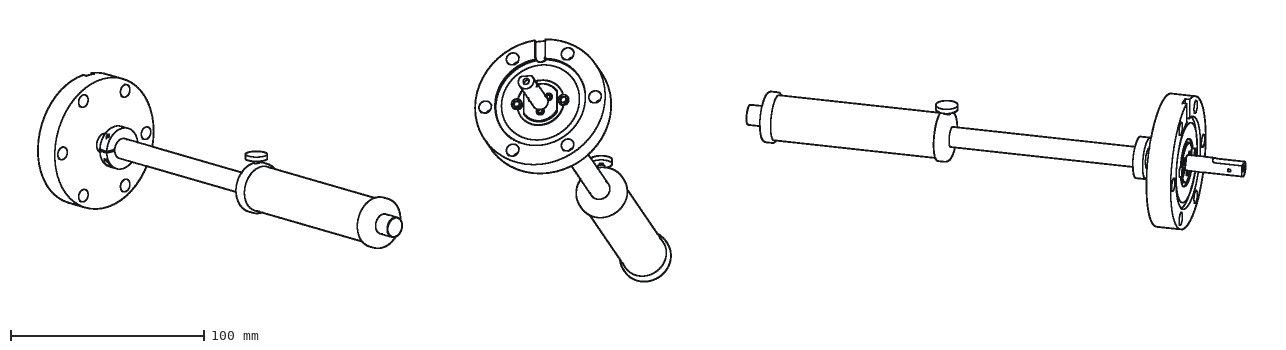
import cadquery as cq
import math

total_length = 265.5

flange_x = 29.7
flange_dia = 69.5
flange_thickness = 13.0
bolt_count = 6
bolt_circle_dia = 58.7
bolt_hole_dia = 6.6
gasket_recess_dia = 48.3
knife_edge_dia = 41.7
knife_edge_depth = 0.8
knife_slope_deg = 20
leak_groove_width = 5.5
leak_groove_depth = 2.5
leak_groove_bottom = 22.8

insert_seat_dia = 25.0
insert_seat_depth = 0.5
insert_dia = 21.0
insert_flat_width = 17.8
insert_height = 0.8
insert_chamfer = 0.3
screw_offset = 12.5
screw_head_dia = 5.3
screw_socket_dia = 3.5
screw_proud = 0.5
guide_count = 3
guide_offset = 5.0
guide_head_dia = 4.0
guide_socket_dia = 2.0
guide_proud = 0.3
socket_depth = 0.8

inner_face_x = flange_x + knife_edge_depth
insert_seat_x = inner_face_x + insert_seat_depth
insert_front_x = insert_seat_x - insert_height

shaft_dia = 8.2
tip_hole_dia = 3.2
tip_hole_depth = 2.7
flat_height = 3.0
flat_length = 16.2
flat_end_radius = 1.5
pin_hole_x = 6.6
pin_hole_dia = 1.5

tube_dia = 10.5
tube_end_chamfer = 0.3
collar_x = 51.3
collar_width = 5.3
collar_dia = 21.8
collar_slit = 0.8
clamp_screw_offset = 7.7
clamp_hole_dia = 1.5
clamp_hole_bottom = 4.0
clamp_head_dia = 4.0
clamp_head_seat = 4.5

handle_x = 156.7
handle_end_x = 256.5
handle_dia = 23.6
cap_dia = 26.5
front_cap_width = 6.5
front_cap_fillet = 2.5
rear_cap_width = 5.8
rear_cap_fillet = 1.9
cap_inner_fillet = 0.8

knob_x = 159.4
knob_dia = 11.5
knob_bottom = 15.5
knob_thickness = 2.5
stem_dia = 2.0
nut_dia = 3.5
nut_top = 14.3


def rod(x, length, dia):
    """Cylinder along +X starting at x."""
    return cq.Workplane("YZ", origin=(x, 0, 0)).circle(dia / 2).extrude(length)


def rod_at(x, length, dia, y, z):
    """Cylinder along +X starting at x, off the main axis."""
    return rod(x, length, dia).translate((0, y, z))


def upright(x, y, z, length, dia):
    """Cylinder along +Z starting at height z."""
    return cq.Workplane("XY", origin=(x, y, z)).circle(dia / 2).extrude(length)


def make_flange():
    flange_r = flange_dia / 2
    recess_r = gasket_recess_dia / 2
    knife_r = knife_edge_dia / 2
    recess_x = inner_face_x + (recess_r - knife_r) * math.tan(math.radians(knife_slope_deg))
    back_x = flange_x + flange_thickness
    profile = [
        (inner_face_x, 0),
        (inner_face_x, knife_r),
        (recess_x, recess_r),
        (flange_x, recess_r),
        (flange_x, flange_r),
        (back_x, flange_r),
        (back_x, 0),
    ]
    flange = cq.Workplane("XY").polyline(profile).close().revolve(360, (0, 0, 0), (1, 0, 0))
    for i in range(bolt_count):
        angle = 2 * math.pi * i / bolt_count
        y = bolt_circle_dia / 2 * math.cos(angle)
        z = bolt_circle_dia / 2 * math.sin(angle)
        flange = flange.cut(rod_at(flange_x, flange_thickness, bolt_hole_dia, y, z))
    return flange.cut(make_leak_groove())


def make_leak_groove():
    """Flat-bottomed radial groove from the rim, with a round inner end."""
    end_radius = leak_groove_width / 2
    end_z = leak_groove_bottom + end_radius
    outer_z = flange_dia / 2
    return (
        cq.Workplane("YZ", origin=(flange_x, 0, 0))
        .moveTo(-end_radius, outer_z)
        .lineTo(-end_radius, end_z)
        .threePointArc((0, leak_groove_bottom), (end_radius, end_z))
        .lineTo(end_radius, outer_z)
        .close()
        .extrude(leak_groove_depth)
    )


def make_insert():
    """Round insert with two flats that clear the screw heads."""
    insert = rod(insert_front_x, insert_height, insert_dia).faces("<X").chamfer(insert_chamfer)
    between_flats = cq.Workplane("XY", origin=(insert_front_x, 0, 0))
    return insert.intersect(between_flats.box(2 * insert_height, insert_flat_width, insert_dia))


def make_socket_screw(head_x, y, z, head_dia, socket_dia):
    """Screw head reaching back into the insert seat, with a hexagon socket."""
    head = rod_at(head_x, insert_seat_x - head_x, head_dia, y, z)
    socket = cq.Workplane("YZ", origin=(head_x, y, z)).polygon(6, socket_dia).extrude(socket_depth)
    return head.cut(socket)


def make_shaft():
    shaft = rod(0, flange_x + flange_thickness, shaft_dia)
    shaft_r = shaft_dia / 2
    end_drop = flat_end_radius - (shaft_r - flat_height)
    end_run = math.sqrt(flat_end_radius**2 - end_drop**2)
    flat_cut = (
        cq.Workplane("XZ")
        .moveTo(0, flat_height)
        .lineTo(flat_length - end_run, flat_height)
        .radiusArc((flat_length, shaft_r), -flat_end_radius)
        .lineTo(0, shaft_r)
        .close()
        .extrude(shaft_r, both=True)
    )
    pin_plane = cq.Workplane("XZ", origin=(pin_hole_x, 0, 0))
    pin_hole = pin_plane.circle(pin_hole_dia / 2).extrude(shaft_dia, both=True)
    tip_hole = rod(0, tip_hole_depth, tip_hole_dia)
    return shaft.cut(flat_cut).cut(pin_hole).cut(tip_hole)


def make_collar():
    """Clamp collar split on its -Y side, with a screw hole above the split and a head pocket below."""
    collar_r = collar_dia / 2
    mid_x = collar_x + collar_width / 2
    collar = rod(collar_x, collar_width, collar_dia)
    slit = cq.Workplane("XY", origin=(mid_x, -collar_r / 2, 0)).box(collar_width, collar_r, collar_slit)
    hole = upright(mid_x, -clamp_screw_offset, clamp_hole_bottom, collar_r, clamp_hole_dia)
    head = upright(mid_x, -clamp_screw_offset, -collar_r, collar_r - clamp_head_seat, clamp_head_dia)
    return collar.cut(slit).cut(hole).cut(head)


def make_cap(x, width, outer_face, inner_face, outer_fillet):
    cap = rod(x, width, cap_dia)
    cap = cap.faces(outer_face).edges().fillet(outer_fillet)
    return cap.faces(inner_face).edges().fillet(cap_inner_fillet)


def make_handle():
    rear_cap_x = handle_end_x - rear_cap_width
    body_x = handle_x + front_cap_width / 2
    body_end_x = handle_end_x - rear_cap_width / 2
    body = rod(body_x, body_end_x - body_x, handle_dia)
    front = make_cap(handle_x, front_cap_width, "<X", ">X", front_cap_fillet)
    rear = make_cap(rear_cap_x, rear_cap_width, ">X", "<X", rear_cap_fillet)
    return body.union(front).union(rear)


def make_thumb_screw():
    stem = upright(knob_x, 0, 0, knob_bottom, stem_dia)
    nut = upright(knob_x, 0, 0, nut_top, nut_dia)
    knob = upright(knob_x, 0, knob_bottom, knob_thickness, knob_dia)
    return stem.union(nut).union(knob)


def make_tube():
    tube_x = flange_x + flange_thickness
    return rod(tube_x, total_length - tube_x, tube_dia).faces(">X").chamfer(tube_end_chamfer)


insert_seat = rod(inner_face_x, insert_seat_depth, insert_seat_dia)
result = make_flange().cut(insert_seat).union(make_insert())

screw_x = flange_x - screw_proud
for screw_y in (-screw_offset, screw_offset):
    result = result.union(make_socket_screw(screw_x, screw_y, 0, screw_head_dia, screw_socket_dia))

guide_x = insert_front_x - guide_proud
for i in range(guide_count):
    angle = 2 * math.pi * i / guide_count - math.pi / 2
    guide_y = guide_offset * math.cos(angle)
    guide_z = guide_offset * math.sin(angle)
    result = result.union(make_socket_screw(guide_x, guide_y, guide_z, guide_head_dia, guide_socket_dia))

result = result.union(make_shaft()).union(make_tube()).union(make_collar())
result = result.union(make_handle()).union(make_thumb_screw())